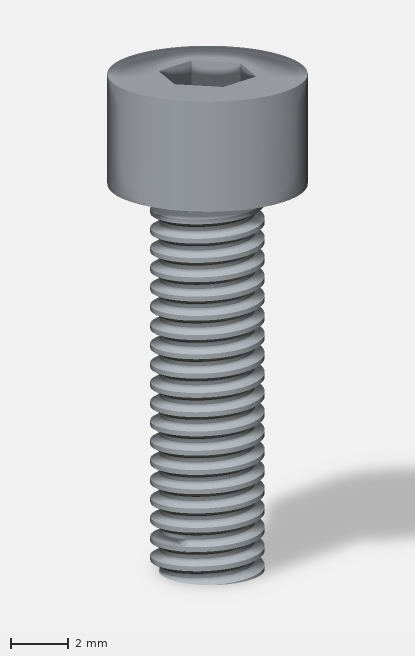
import cadquery as cq
import math

total_length = 18.0
head_diameter = 7.0
head_height = 4.0
shank_diameter = 4.0
socket_across_flats = 3.0
socket_depth = 2.2
shank_length = total_length - head_height

thread_turns_on_shank = 20
pitch = shank_length / thread_turns_on_shank
thread_depth = 0.32
crest_width = pitch / 4
flank_angle = 30.0
runout_turns = 0.05
groove_overcut = 0.09

shank_radius = shank_diameter / 2
root_radius = shank_radius - thread_depth


def make_blank():
    """Plain shank standing on Z = 0 with the cylindrical head on top."""
    shank = cq.Workplane("XY").circle(shank_radius).extrude(total_length)
    head = (
        cq.Workplane("XY")
        .workplane(offset=shank_length)
        .circle(head_diameter / 2)
        .extrude(head_height)
    )
    return shank.union(head)


def make_socket():
    """Hexagonal key socket with corners on the Y axis."""
    corner_diameter = socket_across_flats / math.cos(math.pi / 6)
    return (
        cq.Workplane("XY")
        .workplane(offset=total_length - socket_depth)
        .transformed(rotate=(0, 0, 90))
        .polygon(6, corner_diameter)
        .extrude(socket_depth)
    )


def make_thread_groove():
    """Helical cutter from below the tip to half a pitch below the head at the +X side, plus the run-out."""
    flank_slope = math.tan(math.radians(flank_angle))
    half_opening = (pitch - crest_width) / 2
    half_root = half_opening - thread_depth * flank_slope
    half_outer = half_opening + groove_overcut * flank_slope
    outer_radius = shank_radius + groove_overcut

    top_z = shank_length - pitch / 2
    start_z = top_z - thread_turns_on_shank * pitch
    helix = cq.Wire.makeHelix(pitch, (thread_turns_on_shank + runout_turns) * pitch, root_radius)
    path = helix.translate(cq.Vector(0, 0, start_z))
    profile = (
        cq.Workplane("XZ")
        .moveTo(root_radius, start_z - half_root)
        .lineTo(outer_radius, start_z - half_outer)
        .lineTo(outer_radius, start_z + half_outer)
        .lineTo(root_radius, start_z + half_root)
        .close()
    )
    return profile.sweep(cq.Workplane(obj=path), isFrenet=True)


result = make_blank().cut(make_thread_groove()).cut(make_socket())